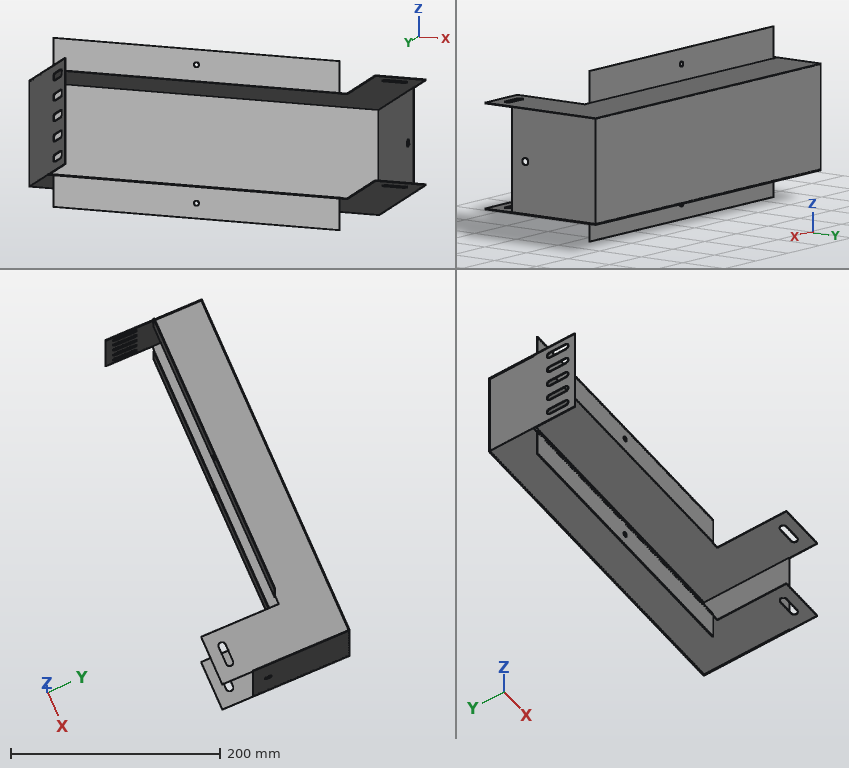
import cadquery as cq

length = 355.0
tab_reach = 133.0
total_height = 166.0
sheet = 1.0

tray_height = 104.0
tray_depth = 53.0
wall_reach = 100.8

tab_width = 51.0
tab_slot_inset = 15.0
tab_slot_side = 25.0

lip_start = 6.0
lip_length = 290.0
lip_hole_diameter = 5.0
lip_hole_inset = 15.0

slot_length = 25.0
slot_width = 7.0
wall_slot_count = 5
wall_slot_pitch = 20.0
wall_slot_inset = 20.3
wall_hole_diameter = 7.0
wall_hole_inset = 15.8

back = 0.0
tray_front = back - tray_depth
wall_front = back - wall_reach
tab_front = back - tab_reach
half_tray = tray_height / 2
half_total = total_height / 2


def block(x_range, y_range, z_range):
    """Box filling the given (low, high) ranges."""
    sizes = [high - low for low, high in (x_range, y_range, z_range)]
    corner = (x_range[0], y_range[0], z_range[0])
    return cq.Workplane("XY").box(*sizes, centered=False).translate(corner)


def plate(z_low):
    """L-shaped sheet: the tray plate and its tab, with a slot across the tab."""
    tab_left = length - tab_width
    outline = [
        (0, back),
        (length, back),
        (length, tab_front),
        (tab_left, tab_front),
        (tab_left, tray_front + sheet),
        (0, tray_front + sheet),
    ]
    slot = (
        cq.Workplane("XY", origin=(0, 0, z_low))
        .center(tab_left + tab_slot_side, tab_front + tab_slot_inset)
        .slot2D(slot_length, slot_width)
        .extrude(sheet)
    )
    return cq.Workplane("XY", origin=(0, 0, z_low)).polyline(outline).close().extrude(sheet).cut(slot)


def lip(z_low, z_high, hole_z):
    """Upright strip along the front edge of a plate, with a hole at mid-length."""
    strip = block((lip_start, lip_start + lip_length), (tray_front, tray_front + sheet), (z_low, z_high))
    hole = (
        cq.Workplane("XZ", origin=(lip_start + lip_length / 2, tray_front + sheet, hole_z))
        .circle(lip_hole_diameter / 2)
        .extrude(sheet)
    )
    return strip.cut(hole)


def end_wall(x_low):
    """Plain end wall over the full tray height."""
    return block((x_low, x_low + sheet), (wall_front, back), (-half_tray, half_tray))


def left_wall():
    """End wall with a column of slots near its front edge."""
    slots = (
        cq.Workplane("YZ")
        .center(wall_front + wall_slot_inset, 0)
        .rarray(1, wall_slot_pitch, 1, wall_slot_count)
        .slot2D(slot_length, slot_width)
        .extrude(sheet)
    )
    return end_wall(0).cut(slots)


def right_wall():
    """End wall with one hole near its front edge."""
    x_low = length - sheet
    hole = (
        cq.Workplane("YZ", origin=(x_low, wall_front + wall_hole_inset, 0))
        .circle(wall_hole_diameter / 2)
        .extrude(sheet)
    )
    return end_wall(x_low).cut(hole)


lip_hole_z = half_total - lip_hole_inset

result = (
    block((0, length), (back - sheet, back), (-half_tray, half_tray))
    .union(plate(half_tray - sheet))
    .union(plate(-half_tray))
    .union(left_wall())
    .union(right_wall())
    .union(lip(half_tray - sheet, half_total, lip_hole_z))
    .union(lip(-half_total, -half_tray + sheet, -lip_hole_z))
)